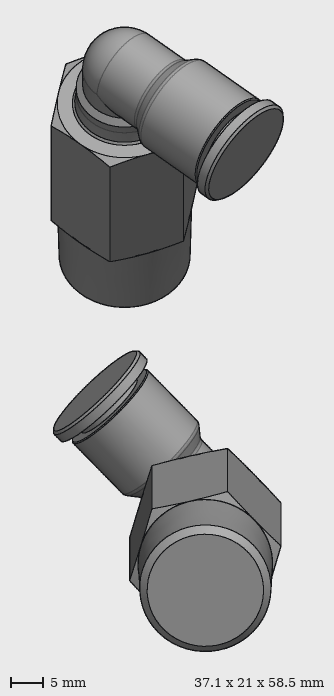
import cadquery as cq
import math

total_height = 58.45

elbow_radius = 6.55
sleeve_radius = 8.1
port_axis_z = total_height - sleeve_radius
cone_start_x = 8.0
cone_end_x = 10.05
cone_blend_radius = 1.0
sleeve_end_x = 21.75
sleeve_edge_chamfer = 0.2

neck_radius = 5.95
flange_start_x = 23.05
flange_end_x = 25.0
flange_half_width = 9.3
flange_half_height = sleeve_radius
flange_edge_chamfer = 0.4

hex_across_flats = 21.0
hex_bottom_z = 15.0
hex_top_z = 41.25
hex_corner_drop = 0.6

collar_radius = 7.55
collar_base_radius = 7.8
collar_foot_height = 0.35
collar_taper_top_z = port_axis_z - elbow_radius
collar_shoulder_z = 45.3

thread_top_radius = 10.45
thread_end_radius = 10.2
thread_chamfer = 1.15


def revolve_about_z(profile):
    """Solid of revolution about Z from (radius, z) points, closed along the axis."""
    outline = [(0, profile[0][1])] + profile + [(0, profile[-1][1])]
    return cq.Workplane("XZ").polyline(outline).close().revolve(360, (0, 0), (0, 1))


def threaded_end():
    return revolve_about_z([
        (thread_end_radius - thread_chamfer, 0),
        (thread_end_radius, thread_chamfer),
        (thread_top_radius, hex_bottom_z),
    ])


def hex_body():
    flat_radius = hex_across_flats / 2
    corner_radius = flat_radius / math.cos(math.pi / 6)
    prism = (
        cq.Workplane("XY", origin=(0, 0, hex_bottom_z))
        .polygon(6, 2 * corner_radius)
        .extrude(hex_top_z - hex_bottom_z)
    )
    envelope = revolve_about_z([
        (flat_radius, hex_bottom_z),
        (corner_radius, hex_bottom_z + hex_corner_drop),
        (corner_radius, hex_top_z - hex_corner_drop),
        (flat_radius, hex_top_z),
    ])
    return prism.intersect(envelope)


def collar():
    shoulder_chamfer = collar_radius - elbow_radius
    return revolve_about_z([
        (collar_base_radius + collar_foot_height, hex_top_z),
        (collar_base_radius, hex_top_z + collar_foot_height),
        (collar_radius, collar_taper_top_z),
        (collar_radius, collar_shoulder_z),
        (elbow_radius, collar_shoulder_z + shoulder_chamfer),
    ])


def elbow_corner():
    """Vertical leg topped by a ball that joins it to the horizontal leg."""
    leg = (
        cq.Workplane("XY", origin=(0, 0, hex_top_z))
        .circle(elbow_radius)
        .extrude(port_axis_z - hex_top_z)
    )
    ball = cq.Workplane("XY", origin=(0, 0, port_axis_z)).sphere(elbow_radius)
    return leg.union(ball)


def sleeve():
    """Horizontal leg that widens through a blended cone into the sleeve."""
    body = (
        cq.Workplane("XZ", origin=(0, 0, port_axis_z))
        .polyline([
            (0, 0),
            (0, elbow_radius),
            (cone_start_x, elbow_radius),
            (cone_end_x, sleeve_radius),
            (sleeve_end_x, sleeve_radius),
            (sleeve_end_x, 0),
        ])
        .close()
        .revolve(360, (0, 0), (1, 0))
    )
    margin = cone_blend_radius
    cone_edges = cq.selectors.BoxSelector(
        (cone_start_x - margin, -sleeve_radius, port_axis_z - sleeve_radius),
        (cone_end_x + margin, sleeve_radius, port_axis_z + sleeve_radius),
    )
    blended = body.edges("%CIRCLE").edges(cone_edges).fillet(cone_blend_radius)
    return blended.faces(">X").edges().chamfer(sleeve_edge_chamfer)


def release_ring():
    neck = (
        cq.Workplane("YZ", origin=(sleeve_end_x, 0, port_axis_z))
        .circle(neck_radius)
        .extrude(flange_start_x - sleeve_end_x)
    )
    flange = (
        cq.Workplane("YZ", origin=(flange_start_x, 0, port_axis_z))
        .ellipse(flange_half_width, flange_half_height)
        .extrude(flange_end_x - flange_start_x)
        .faces(">X")
        .edges()
        .chamfer(flange_edge_chamfer)
    )
    return neck.union(flange)


result = (
    threaded_end()
    .union(hex_body())
    .union(collar())
    .union(elbow_corner())
    .union(sleeve())
    .union(release_ring())
)